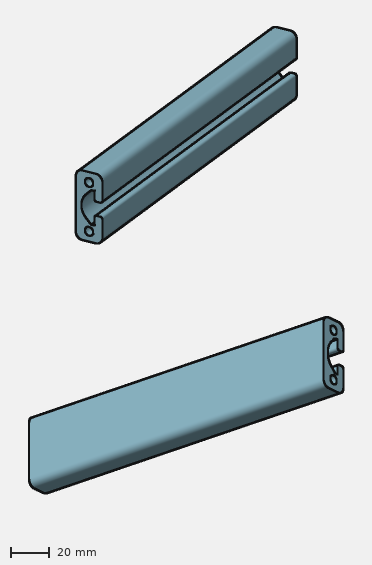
import cadquery as cq
import math

width = 16.0
length = 200.0
height = 40.0
corner_radius = 4.0

hole_diameter = 5.0
hole_spacing = 28.0

slot_opening = 8.0
lip_thickness = 4.8
lip_radius = 1.5
cavity_height = 19.8
cavity_floor_x = -4.5
cavity_radius = 9.5
flank_angle = math.radians(45)


def extrude_along_length(profile):
    """Extrude an XZ profile symmetrically about the middle of the length."""
    return profile.extrude(length / 2, both=True)


def make_body():
    body = extrude_along_length(cq.Workplane("XZ").rect(width, height))
    return body.edges("|Y").fillet(corner_radius)


def make_slot():
    """Cavity with a round floor, straight tangent flanks and a narrower mouth."""
    outer_x = width / 2
    lip_x = outer_x - lip_thickness
    half_cavity = cavity_height / 2
    half_opening = slot_opening / 2

    arc_end_x = cavity_floor_x + cavity_radius * (1 - math.cos(flank_angle))
    arc_end_z = cavity_radius * math.sin(flank_angle)
    flank_end_x = arc_end_x + (half_cavity - arc_end_z) * math.tan(flank_angle)

    return extrude_along_length(
        cq.Workplane("XZ")
        .moveTo(outer_x, half_opening)
        .lineTo(lip_x, half_opening)
        .lineTo(lip_x, half_cavity)
        .lineTo(flank_end_x, half_cavity)
        .lineTo(arc_end_x, arc_end_z)
        .threePointArc((cavity_floor_x, 0), (arc_end_x, -arc_end_z))
        .lineTo(flank_end_x, -half_cavity)
        .lineTo(lip_x, -half_cavity)
        .lineTo(lip_x, -half_opening)
        .lineTo(outer_x, -half_opening)
        .close()
    )


def make_holes():
    centers = [(0, -hole_spacing / 2), (0, hole_spacing / 2)]
    return extrude_along_length(cq.Workplane("XZ").pushPoints(centers).circle(hole_diameter / 2))


def round_lips(body):
    """Round both edges of each slot lip."""
    for side in (-1, 1):
        lip_face = cq.selectors.NearestToPointSelector(
            (width / 2 - lip_thickness / 2, 0, side * slot_opening / 2)
        )
        body = body.faces(lip_face).edges("|Y").fillet(lip_radius)
    return body


result = round_lips(make_body().cut(make_slot()).cut(make_holes()))